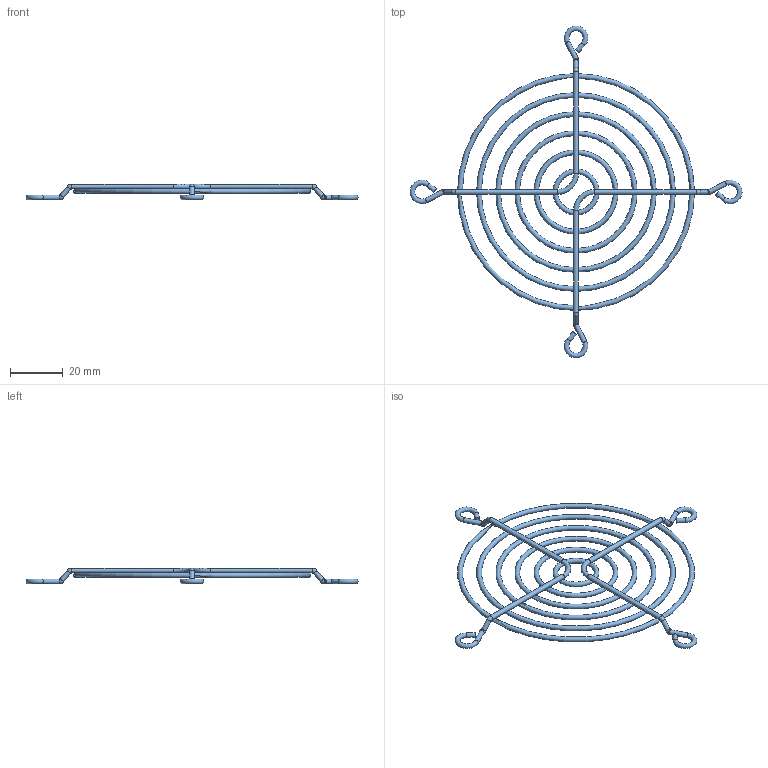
import cadquery as cq
import math

wire_diameter = 1.81
overall_width = 125.3
overall_height = 5.91
arm_count = 4

ring_count = 6
inner_ring_radius = 7.8
ring_pitch = 7.2
weld_overlap = 0.1

center_bend_radius = 6.93
arm_straight_end = 45.4
step_angle = 50.0
step_bend_radius = 1.4
neck_distance = 50.2

eye_radius = 3.57
eye_tail_angle = 221.0
eye_tail_length = 3.4

wire_radius = wire_diameter / 2
eye_axis_z = wire_radius
arm_axis_z = overall_height - wire_radius
ring_axis_z = arm_axis_z - wire_diameter + weld_overlap
eye_center_distance = overall_width / 2 - wire_radius - eye_radius


def sweep_wire(path, start, direction):
    """Sweep the round wire section along a path that leaves start along direction."""
    section = cq.Workplane(cq.Plane(origin=start, normal=direction)).circle(wire_radius)
    return section.sweep(path)


def make_ring(radius):
    ring = cq.Solid.makeTorus(radius, wire_radius, cq.Vector(0, 0, ring_axis_z))
    return cq.Workplane(obj=ring)


def make_arm():
    """Straight arm along +X that steps down to the eye level."""
    angle = math.radians(step_angle)
    bend_run = step_bend_radius * math.sin(angle)
    bend_drop = step_bend_radius * (1 - math.cos(angle))
    half_run = step_bend_radius * math.sin(angle / 2)
    half_drop = step_bend_radius * (1 - math.cos(angle / 2))
    slope_drop = arm_axis_z - eye_axis_z - 2 * bend_drop
    slope_end = arm_straight_end + bend_run + slope_drop / math.tan(angle)
    step_end = slope_end + bend_run

    path = (
        cq.Workplane("XZ")
        .moveTo(center_bend_radius, arm_axis_z)
        .lineTo(arm_straight_end, arm_axis_z)
        .threePointArc(
            (arm_straight_end + half_run, arm_axis_z - half_drop),
            (arm_straight_end + bend_run, arm_axis_z - bend_drop),
        )
        .lineTo(slope_end, eye_axis_z + bend_drop)
        .threePointArc(
            (step_end - half_run, eye_axis_z + half_drop),
            (step_end, eye_axis_z),
        )
        .lineTo(neck_distance, eye_axis_z)
    )
    return sweep_wire(path, (center_bend_radius, 0, arm_axis_z), (1, 0, 0))


def make_eye():
    """Open eye at the end of the +X arm: leg, loop and short tail."""

    def on_loop(angle):
        return (
            eye_center_distance + eye_radius * math.sin(angle),
            eye_radius * math.cos(angle),
        )

    leg_angle = -math.asin(eye_radius / (eye_center_distance - neck_distance))
    tail_angle = math.radians(eye_tail_angle)
    tail_start = on_loop(tail_angle)
    tail_end = (
        tail_start[0] + eye_tail_length * math.cos(tail_angle),
        tail_start[1] - eye_tail_length * math.sin(tail_angle),
    )
    leg_direction = (math.cos(leg_angle), -math.sin(leg_angle), 0)

    path = (
        cq.Workplane("XY", origin=(0, 0, eye_axis_z))
        .moveTo(neck_distance, 0)
        .lineTo(*on_loop(leg_angle))
        .threePointArc(on_loop((leg_angle + tail_angle) / 2), tail_start)
        .lineTo(*tail_end)
    )
    eye = sweep_wire(path, (neck_distance, 0, eye_axis_z), leg_direction)
    elbow = cq.Workplane("XY", origin=(neck_distance, 0, eye_axis_z)).sphere(wire_radius)
    return eye.union(elbow)


def make_center_bend():
    """Quarter bend joining the +Y arm to the -X arm."""
    center = (-center_bend_radius, center_bend_radius)
    mid_offset = center_bend_radius * math.sqrt(0.5)
    path = (
        cq.Workplane("XY", origin=(0, 0, arm_axis_z))
        .moveTo(-center_bend_radius, 0)
        .threePointArc(
            (center[0] + mid_offset, center[1] - mid_offset),
            (0, center_bend_radius),
        )
    )
    return sweep_wire(path, (-center_bend_radius, 0, arm_axis_z), (1, 0, 0))


def turned(body, angle):
    return body.rotate((0, 0, 0), (0, 0, 1), angle)


arm = make_arm().union(make_eye())
center_bend = make_center_bend()

result = center_bend.union(turned(center_bend, 180))
for index in range(arm_count):
    result = result.union(turned(arm, index * 360 / arm_count))
for index in range(ring_count):
    result = result.union(make_ring(inner_ring_radius + index * ring_pitch))